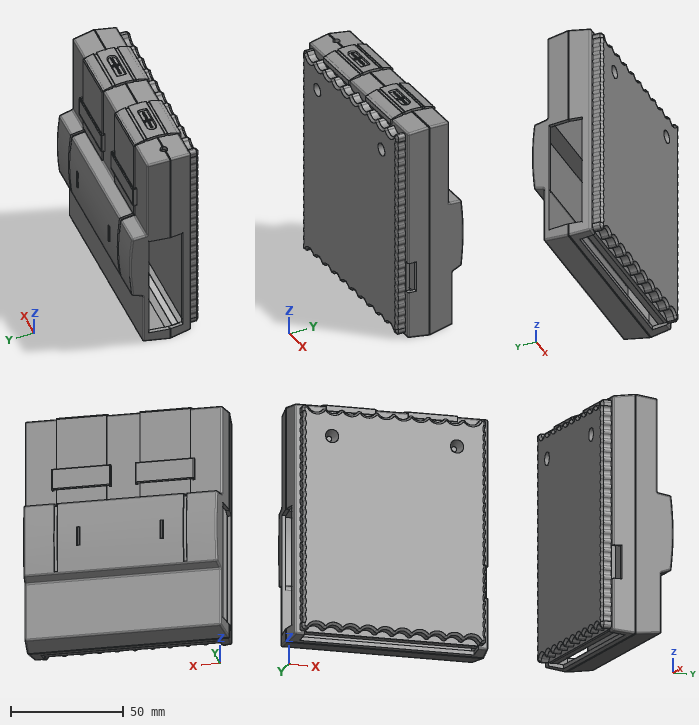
import cadquery as cq
import math

case_width = 92.0
case_height = 108.9
case_middle = case_height / 2
draft = math.radians(6.5)
wall = 1.8
edge_break = 0.8
parting_groove_width = 0.4
parting_groove_depth = 0.3
shell_depth = 10.5
lower_back = 12.4

hump_top = 64.3
hump_bottom = 30.4
hump_shoulder = 17.3
hump_crest = 18.4
hump_root_top = 65.3
hump_middle = (hump_top + hump_bottom) / 2
hump_root_bottom = 28.8
hump_floor_wall = 1.0
hump_lip_radius = 2.5
hump_groove_x = 29.4
hump_groove_width = 1.5
hump_groove_depth = 1.0
hump_rib_width = 1.5
hump_rib_chamfer = 0.4
hump_rib_reach = 18.85
hump_rib_top = 51.5
hump_rib_bottom = 42.8

side_opening_bottom = 6.2
side_opening_top = 61.5
side_opening_front = -6.5
side_opening_back = 9.7
side_notch_bottom = 24.8
side_notch_top = 40.0
side_notch_x = 42.8
bottom_notch_half_width = 40.4
bottom_notch_top = 2.5
bottom_notch_floor = -3.3
light_hole_x = -38.4
light_hole_diameter = 3.2

pad_depth = 4.7
pad_half_width = 42.6
pad_half_height = 51.8
pad_chamfer = 1.1
pad_corner_radius = 1.3
end_wave_pitch = 8.03
end_wave_count = 10
end_wave_depth = 1.9
end_wave_crest = 50.9
end_wave_crest_share = 0.27
side_wave_pitch = 4.12
side_wave_count = 24
side_wave_depth = 0.5
side_wave_crest_share = 0.5
pad_hole_x = 29.0
pad_hole_z = 92.7
pad_hole_diameter = 6.1
pad_hole_floor_diameter = 2.4

strap_x = 19.0
strap_width = 22.9
strap_thickness = 0.8
strap_crest = 110.08
strap_shoulder = 107.8
strap_front_end = 105.4
strap_back_end = 66.2
strap_back_chamfer = 0.5
strap_groove_width = 1.3
strap_groove_depth = 0.4
strap_groove_centres = (5.5, -4.5)
recess_length = 13.8
recess_width = 4.8
recess_depth = 0.6
recess_bar_width = 0.9
recess_bar_offset = 0.4
recess_bar_height = 0.4
recess_teeth = 7
tooth_pitch = 1.6
tooth_size = 0.9
tooth_height = 0.3
recess_rim = 0.5

keeper_width = 26.8
keeper_bottom = 73.2
keeper_top = 83.1
keeper_outer = 12.45
keeper_thickness = 0.8
keeper_chamfer = 0.4

past = 10.0


def box(x0, x1, y0, y1, z0, z1):
    return cq.Workplane("XY").box(x1 - x0, y1 - y0, z1 - z0, centered=False).translate((x0, y0, z0))


def drafted_block(inset, depth, direction):
    """Block that narrows from the parting plane toward -Y (direction -1) or +Y (+1)."""
    plane = cq.Plane(origin=(0, 0, case_middle), xDir=(1, 0, 0), normal=(0, direction, 0))
    return (
        cq.Workplane(plane)
        .rect(case_width - 2 * inset, case_height - 2 * inset)
        .extrude(depth, taper=math.degrees(draft))
    )


def back_profile(inset, width):
    """Side profile of the back shell, moved inward by inset, run across the given width."""
    return (
        cq.Workplane("YZ")
        .moveTo(0, -past)
        .lineTo(lower_back - inset, -past)
        .lineTo(lower_back - inset, hump_root_bottom + inset)
        .lineTo(hump_shoulder - inset, hump_bottom + inset)
        .threePointArc((hump_crest - inset, hump_middle), (hump_shoulder - inset, hump_top - inset))
        .lineTo(shell_depth - inset, hump_root_top - inset)
        .lineTo(shell_depth - inset, case_height + past)
        .lineTo(0, case_height + past)
        .close()
        .extrude(width / 2, both=True)
    )


def light_hole():
    return (
        cq.Workplane("XY", origin=(light_hole_x, 0, case_height - 2 * wall))
        .circle(light_hole_diameter / 2)
        .extrude(past)
    )


def side_opening():
    return box(
        -case_width / 2 - past, -case_width / 2 + 2 * past,
        side_opening_front, side_opening_back, side_opening_bottom, side_opening_top,
    )


def make_front_outside():
    block = drafted_block(0, shell_depth, -1)
    return block.edges("not(>Y)").fillet(edge_break)


def parting_groove():
    """Shallow ring around the front shell, beside the parting plane."""
    band = box(
        -case_width, case_width, -parting_groove_width, 0, -past, case_height + past
    )
    return band.cut(drafted_block(parting_groove_depth, shell_depth, -1))


def make_front_shell():
    bottom_notch = box(
        -bottom_notch_half_width, bottom_notch_half_width,
        -shell_depth - past, bottom_notch_floor, -past, bottom_notch_top,
    )
    side_notch = box(
        side_notch_x, case_width / 2 + past,
        -shell_depth - past, side_opening_front, side_notch_bottom, side_notch_top,
    )
    return (
        make_front_outside()
        .cut(drafted_block(wall, shell_depth - wall, -1))
        .cut(side_opening())
        .cut(bottom_notch)
        .cut(side_notch)
        .cut(parting_groove())
        .cut(light_hole())
    )


def make_back_outside():
    block = drafted_block(0, hump_crest + past, 1)
    shaped = block.intersect(back_profile(0, case_width))
    return shaped.edges("not(<Y)").fillet(edge_break)


def hump_grooves():
    """Two grooves over the crest and the upper flank of the hump."""
    groove = back_profile(-past, hump_groove_width).cut(
        back_profile(hump_groove_depth, hump_groove_width)
    )
    reach = box(
        -case_width, case_width, shell_depth, hump_crest + past,
        hump_bottom + hump_groove_depth, hump_root_top,
    )
    groove = groove.intersect(reach)
    return groove.translate((-hump_groove_x, 0, 0)).union(groove.translate((hump_groove_x, 0, 0)))


def make_back_cavity():
    """Hollow that follows the back profile, with a rounded lip below the hump."""
    slope = (hump_bottom - hump_root_bottom) / (hump_shoulder - lower_back)
    lip_z = hump_root_bottom + hump_floor_wall - slope * (lower_back - side_opening_back)
    hump_profile = (
        cq.Workplane("YZ")
        .moveTo(0, -past)
        .lineTo(hump_shoulder - wall, -past)
        .lineTo(hump_shoulder - wall, hump_bottom)
        .threePointArc((hump_crest - wall, hump_middle), (hump_shoulder - wall, hump_top - wall))
        .lineTo(shell_depth - wall, hump_root_top - wall)
        .lineTo(shell_depth - wall, case_height)
        .lineTo(0, case_height)
        .close()
        .extrude(case_width, both=True)
    )
    floor_wedge = (
        cq.Workplane("YZ")
        .moveTo(side_opening_back, -past)
        .lineTo(side_opening_back, lip_z)
        .lineTo(hump_crest, lip_z + slope * (hump_crest - side_opening_back))
        .lineTo(hump_crest, -past)
        .close()
        .extrude(case_width, both=True)
        .edges("|X and <Y")
        .edges(">Z")
        .fillet(hump_lip_radius)
    )
    return (
        drafted_block(wall, hump_crest + past, 1)
        .intersect(hump_profile)
        .cut(floor_wedge)
    )


def make_back_shell():
    shell = make_back_outside()
    for x in (-strap_x, strap_x):
        rib = box(
            x - hump_rib_width / 2, x + hump_rib_width / 2,
            hump_shoulder, hump_rib_reach, hump_rib_bottom, hump_rib_top,
        )
        shell = shell.union(rib.edges(">Y and |Z").chamfer(hump_rib_chamfer))
    return shell.cut(make_back_cavity()).cut(hump_grooves()).cut(side_opening()).cut(light_hole())


def wave(pitch, count, depth, crest, crest_share):
    """Wave of arcs with a valley first and last, centred on zero.

    Returns its start point, its arcs as (mid-point, end-point) pairs, and the angle by which the
    shared tangent leans wherever a valley meets a crest.
    """
    lean = 2 * math.atan(2 * depth / pitch)
    crest_rise = depth * crest_share
    turn = crest - crest_rise
    half_valley = pitch * (1 - crest_share) / 2
    first_valley = -pitch * (count - 1) / 2
    arcs = []
    for i in range(count):
        middle = first_valley + i * pitch
        arcs.append(((middle, crest - depth), (middle + half_valley, turn)))
        if i < count - 1:
            arcs.append(((middle + pitch / 2, crest), (middle + pitch - half_valley, turn)))
    return (first_valley - half_valley, turn), arcs, lean


def turned(point, quarters):
    """The point after so many clockwise quarter turns about the pad's middle."""
    u, v = point
    for _ in range(quarters):
        u, v = v, -u
    return (u, v)


def pad_outline():
    """Closed pad outline: four waves joined by rounded corner lobes."""
    end_start, end_arcs, end_lean = wave(
        end_wave_pitch, end_wave_count, end_wave_depth, end_wave_crest, end_wave_crest_share
    )
    side_start, side_arcs, side_lean = wave(
        side_wave_pitch, side_wave_count, side_wave_depth, pad_half_width, side_wave_crest_share
    )
    end_run = end_start[0] - (pad_half_height - end_start[1]) / math.tan(end_lean)
    side_run = side_start[0] - (pad_half_width - side_start[1]) / math.tan(side_lean)
    edges_per_side = (
        (end_start, end_arcs, end_run, pad_half_height, pad_half_width),
        (side_start, side_arcs, side_run, pad_half_width, pad_half_height),
    )
    corner_inset = pad_corner_radius * (1 - math.sqrt(0.5))
    outline = cq.Workplane(
        cq.Plane(origin=(0, -shell_depth, case_middle), xDir=(1, 0, 0), normal=(0, -1, 0))
    ).moveTo(-pad_half_width + pad_corner_radius, pad_half_height)
    for quarter in range(4):
        start, arcs, run, reach, corner = edges_per_side[quarter % 2]
        outline = outline.lineTo(*turned((run, reach), quarter))
        outline = outline.lineTo(*turned(start, quarter))
        for middle, end in arcs:
            outline = outline.threePointArc(turned(middle, quarter), turned(end, quarter))
        outline = outline.lineTo(*turned((-run, reach), quarter))
        outline = outline.lineTo(*turned((corner - pad_corner_radius, reach), quarter))
        outline = outline.threePointArc(
            turned((corner - corner_inset, reach - corner_inset), quarter),
            turned((corner, reach - pad_corner_radius), quarter),
        )
    return outline.close()


def make_pad():
    pad = pad_outline().extrude(pad_depth).faces("<Y").chamfer(pad_chamfer)
    for x in (-pad_hole_x, pad_hole_x):
        hole = cq.Solid.makeCone(
            pad_hole_diameter / 2, pad_hole_floor_diameter / 2, pad_depth,
            pnt=cq.Vector(x, -shell_depth - pad_depth, pad_hole_z), dir=cq.Vector(0, 1, 0),
        )
        pad = pad.cut(cq.Workplane(hole))
    return pad


def strap_recess():
    """Pocket with a round outer end, a cross bar and a row of teeth, for the strap at +X."""
    floor = strap_crest - recess_depth
    half = recess_length / 2 - recess_rim
    half_width = recess_width / 2 - recess_rim
    flare = math.degrees(math.atan2(recess_rim, recess_depth))
    pocket = (
        cq.Workplane("XY", origin=(0, 0, floor))
        .moveTo(-half, -half_width)
        .lineTo(half - half_width, -half_width)
        .threePointArc((half, 0), (half - half_width, half_width))
        .lineTo(-half, half_width)
        .close()
        .extrude(recess_depth, taper=-flare)
    )
    bar = box(
        recess_bar_offset - recess_bar_width / 2, recess_bar_offset + recess_bar_width / 2,
        -recess_width / 2, recess_width / 2, floor, floor + recess_bar_height,
    )
    teeth = (
        cq.Workplane("XY", origin=(0, 0, floor + tooth_height / 2))
        .rarray(tooth_pitch, 1, recess_teeth, 1)
        .box(tooth_size, tooth_size, tooth_height)
    )
    return pocket.cut(bar).cut(teeth)


def make_strap(case):
    """Strap at +X: an arched band over the top edge that hangs down the front and the back."""
    reach = shell_depth + strap_thickness
    strap = (
        cq.Workplane("YZ")
        .moveTo(-reach, strap_front_end)
        .lineTo(-reach, strap_shoulder)
        .threePointArc((0, strap_crest), (reach, strap_shoulder))
        .lineTo(reach, strap_back_end)
        .lineTo(0, strap_back_end)
        .lineTo(0, strap_front_end)
        .close()
        .extrude(strap_width / 2, both=True)
    )
    strap = strap.edges("|X and >Y").edges(">Z").chamfer(strap_back_chamfer)
    inner_width = strap_width / 2 - strap_groove_depth
    arch = strap.translate((0, 0, -strap_groove_depth))
    core = arch.intersect(box(-inner_width, inner_width, -past, past, case_middle, strap_crest))
    for y in strap_groove_centres:
        band = box(
            -strap_width, strap_width,
            y - strap_groove_width / 2, y + strap_groove_width / 2, strap_front_end, strap_crest + past,
        )
        strap = strap.cut(band.cut(core))
    return strap.cut(strap_recess()).translate((strap_x, 0, 0)).cut(case)


def make_keeper():
    """Bridge at +X that stands on the back face on two legs and spans the strap."""
    half = keeper_width / 2
    gap = half - keeper_thickness
    bridge = box(-half, half, shell_depth, keeper_outer, keeper_bottom, keeper_top)
    tunnel = box(
        -gap, gap, shell_depth, keeper_outer - keeper_thickness, keeper_bottom, keeper_top
    )
    bridge = bridge.faces(">Y").chamfer(keeper_chamfer)
    return bridge.cut(tunnel).translate((strap_x, 0, 0))


front_shell = make_front_shell()
back_shell = make_back_shell()
pad = make_pad()
case_outside = make_front_outside().union(make_back_outside())
right_strap = make_strap(case_outside)
right_keeper = make_keeper()
straps = [right_strap, right_strap.mirror("YZ")]
keepers = [right_keeper, right_keeper.mirror("YZ")]

result = cq.Compound.makeCompound(
    [front_shell.val(), back_shell.val(), pad.val()]
    + [strap.val() for strap in straps]
    + [keeper.val() for keeper in keepers]
)